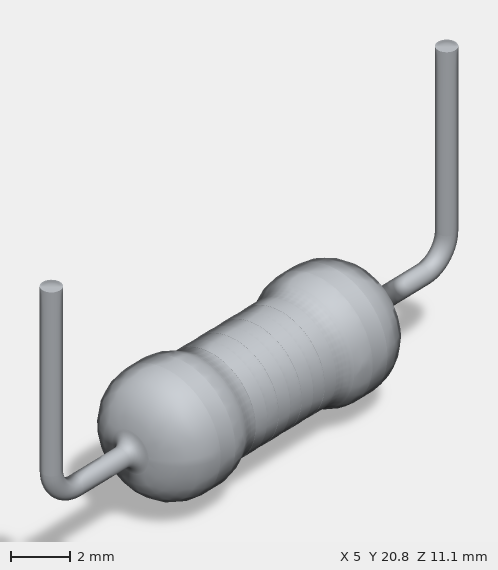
import cadquery as cq
import math

overall_length = 20.8
body_diameter = 5.0
overall_height = 11.1

lead_diameter = 0.8
bend_radius = 1.2

body_half_length = 6.01
cap_outer_edge = 4.22
cap_inner_edge = 3.47
waist_diameter = 4.25

band_diameter = 4.26
band_count = 4
band_width = 0.58

body_radius = body_diameter / 2
waist_radius = waist_diameter / 2
lead_radius = lead_diameter / 2
lead_top = overall_height - body_radius
lead_y = overall_length / 2 - lead_radius
banded_half_length = (2 * band_count - 1) * band_width / 2

dome_radius = body_half_length - cap_outer_edge
dome_center_r = body_radius - dome_radius
collar_end = 6.5
dome_to_collar_y = collar_end - cap_outer_edge
radial_gap = lead_radius - dome_center_r
collar_radius = (radial_gap**2 + dome_to_collar_y**2 - dome_radius**2) / (2 * (dome_radius - radial_gap))
collar_center_r = lead_radius + collar_radius
contact_angle = math.atan2(dome_to_collar_y, collar_center_r - dome_center_r)

shoulder_mid = ((body_radius + waist_radius) / 2, (cap_inner_edge + banded_half_length) / 2)
shoulder_length = cap_inner_edge - banded_half_length
shoulder_step = body_radius - waist_radius
shoulder_radius = (shoulder_length**2 + shoulder_step**2) / (4 * shoulder_step)
shoulder_angle = math.asin(shoulder_length / 2 / shoulder_radius)


def on_circle(center_r, center_y, radius, angle):
    return (center_r + radius * math.cos(angle), center_y + radius * math.sin(angle))


def make_end_cap():
    """Revolve the +Y end of the body, from the banded waist to the end of the collar."""
    shoulder_center_r = waist_radius + shoulder_radius
    shoulder_quarter = on_circle(
        shoulder_center_r, banded_half_length, shoulder_radius, math.pi - shoulder_angle / 2
    )
    contact = on_circle(dome_center_r, cap_outer_edge, dome_radius, contact_angle)
    dome_mid = on_circle(dome_center_r, cap_outer_edge, dome_radius, contact_angle / 2)
    collar_mid_angle = math.pi + contact_angle / 2
    collar_mid = on_circle(collar_center_r, collar_end, collar_radius, collar_mid_angle)
    profile = (
        cq.Workplane("XY")
        .moveTo(0, banded_half_length)
        .lineTo(waist_radius, banded_half_length)
        .threePointArc(shoulder_quarter, shoulder_mid)
        .tangentArcPoint((body_radius, cap_inner_edge), relative=False)
        .lineTo(body_radius, cap_outer_edge)
        .threePointArc(dome_mid, contact)
        .threePointArc(collar_mid, (lead_radius, collar_end))
        .lineTo(0, collar_end)
        .close()
    )
    return profile.revolve(360, (0, 0, 0), (0, 1, 0))


def make_lead():
    """Sweep the +Y lead along the body axis, round the bend and up."""
    bend_start_y = lead_y - bend_radius
    path = (
        cq.Workplane("YZ")
        .moveTo(cap_outer_edge, 0)
        .lineTo(bend_start_y, 0)
        .tangentArcPoint((lead_y, bend_radius), relative=False)
        .lineTo(lead_y, lead_top)
    )
    section = cq.Workplane("XZ", origin=(0, cap_outer_edge, 0)).circle(lead_radius)
    return section.sweep(path)


def make_band(start_y):
    """One raised colour band around the waist, reaching from start_y toward +Y."""
    start = cq.Workplane("XZ", origin=(0, start_y, 0))
    return start.circle(band_diameter / 2).extrude(-band_width)


def make_waist():
    """Plain core under the colour bands."""
    start = cq.Workplane("XZ", origin=(0, -banded_half_length, 0))
    return start.circle(waist_radius).extrude(-2 * banded_half_length)


end_with_lead = make_end_cap().union(make_lead())
result = make_waist().union(end_with_lead).union(end_with_lead.mirror("XZ"))

for index in range(band_count):
    band_y = -banded_half_length + band_width * 2 * index
    result = result.union(make_band(band_y))